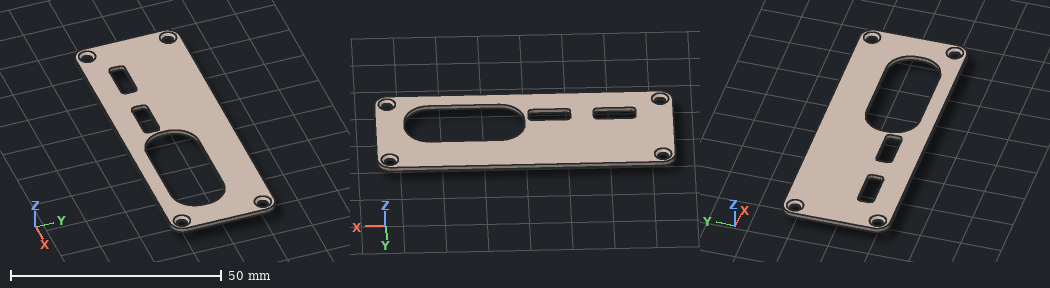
import cadquery as cq

plate_length = 71.0
plate_width = 26.5
plate_thickness = 1.2
plate_corner_radius = 3.25

screw_edge_distance = 3.0
screw_hole_diameter = 2.5
countersink_diameter = 4.0
countersink_angle = 90.0

small_window_length = 10.0
small_window_width = 3.9
small_window_corner_radius = 1.0
small_window_pitch = 15.5
first_small_window_x = -21.5
small_window_y = -5.25
small_window_count = 2

large_window_length = 28.6
large_window_width = 13.2
large_window_corner_radius = 6.0
large_window_x = 14.3
large_window_y = -2.75

rib_height = 3.0
rib_thickness = 1.5
rib_root_radius = 1.0
rib_top_length = 59.0
rib_bottom_length = rib_top_length - 2 * rib_height
rib_y = 7.5


def make_plate():
    plate = cq.Workplane("XY").box(plate_length, plate_width, plate_thickness, centered=(True, True, False))
    return plate.edges("|Z").fillet(plate_corner_radius)


def make_window(length, width, corner_radius, x, y):
    window = cq.Workplane("XY").box(length, width, plate_thickness, centered=(True, True, False))
    return window.edges("|Z").fillet(corner_radius).translate((x, y, 0))


def cut_screw_holes(plate):
    spacing_x = plate_length - 2 * screw_edge_distance
    spacing_y = plate_width - 2 * screw_edge_distance
    return (
        plate.faces(">Z")
        .workplane(origin=(0, 0, plate_thickness))
        .rarray(spacing_x, spacing_y, 2, 2)
        .cskHole(screw_hole_diameter, countersink_diameter, countersink_angle)
    )


def make_rib():
    half_thickness = rib_thickness / 2
    half_root = half_thickness + rib_root_radius
    section = (
        cq.Workplane("YZ")
        .moveTo(-half_root, 0)
        .radiusArc((-half_thickness, -rib_root_radius), rib_root_radius)
        .lineTo(-half_thickness, -rib_height)
        .lineTo(half_thickness, -rib_height)
        .lineTo(half_thickness, -rib_root_radius)
        .radiusArc((half_root, 0), rib_root_radius)
        .close()
        .extrude(rib_top_length / 2, both=True)
    )
    end_trim = (
        cq.Workplane("XZ")
        .moveTo(-rib_top_length / 2, 0)
        .lineTo(rib_top_length / 2, 0)
        .lineTo(rib_bottom_length / 2, -rib_height)
        .lineTo(-rib_bottom_length / 2, -rib_height)
        .close()
        .extrude(half_root, both=True)
    )
    return section.intersect(end_trim).translate((0, rib_y, 0))


result = cut_screw_holes(make_plate())
for index in range(small_window_count):
    window_x = first_small_window_x + index * small_window_pitch
    result = result.cut(
        make_window(
            small_window_length, small_window_width, small_window_corner_radius, window_x, small_window_y
        )
    )
result = result.cut(
    make_window(
        large_window_length, large_window_width, large_window_corner_radius, large_window_x, large_window_y
    )
)
result = result.union(make_rib())